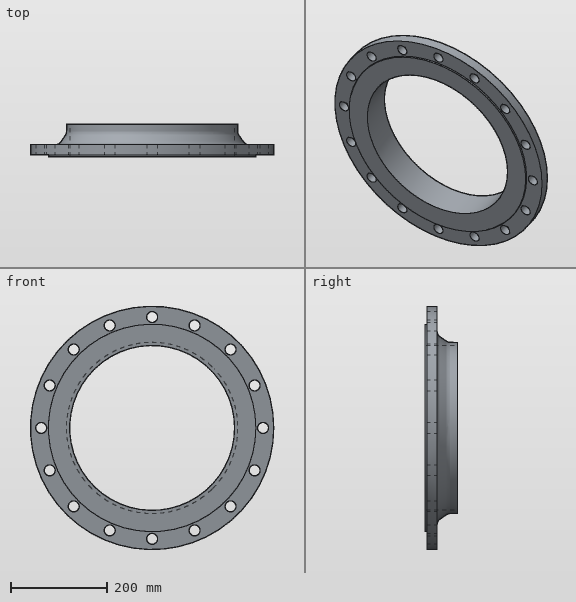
import cadquery as cq

flange_diameter = 505.0
flange_thickness = 21.5

face_diameter = 430.5
face_height = 4.0

overall_length = 68.0
bore_diameter = 341.5
neck_diameter = 355.5
neck_cylinder_length = 19.5
hub_base_diameter = 387.0
hub_blend_radius = 12.0

bolt_count = 16
bolt_circle_diameter = 460.0
bolt_hole_diameter = 22.0

plate_front = face_height
plate_back = plate_front + flange_thickness
neck_start = overall_length - neck_cylinder_length


def make_body():
    """Revolve the half section about the Y axis."""
    section = [
        (bore_diameter / 2, 0),
        (face_diameter / 2, 0),
        (face_diameter / 2, plate_front),
        (flange_diameter / 2, plate_front),
        (flange_diameter / 2, plate_back),
        (hub_base_diameter / 2, plate_back),
        (neck_diameter / 2, neck_start),
        (neck_diameter / 2, overall_length),
        (bore_diameter / 2, overall_length),
    ]
    return cq.Workplane("XY").polyline(section).close().revolve(360, (0, 0), (0, 1))


def blend_hub(body):
    """Round both ends of the conical hub: at the plate and at the neck."""
    hub_ends = body.faces("%CONE").edges("%CIRCLE")
    return hub_ends.fillet(hub_blend_radius)


def make_bolt_holes():
    """Cylinders on the bolt circle, one of them on the X axis."""
    return (
        cq.Workplane("XZ")
        .polarArray(bolt_circle_diameter / 2, 0, 360, bolt_count)
        .circle(bolt_hole_diameter / 2)
        .extrude(-overall_length)
    )


result = blend_hub(make_body()).cut(make_bolt_holes())